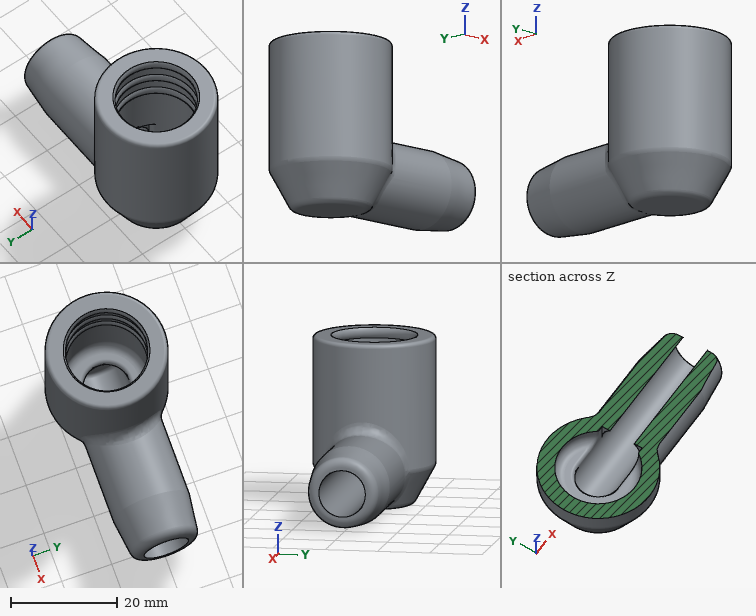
import cadquery as cq

body_diameter = 23.24
body_height = 32.26
branch_diameter = 15.24
branch_reach = 33.53

body_radius = body_diameter / 2
foot_height = 7.65
foot_base_radius = 7.43
foot_edge_radius = 1.7
rim_edge_radius = 0.76

branch_radius = branch_diameter / 2
branch_lift = 0.02
branch_axis_height = branch_radius + branch_lift
taper_start = 25.13
tip_radius = 6.55
tip_edge_radius = 1.7
blend_radius = 2.2

socket_radius = 8.17
socket_floor_edge = 1.79
rib_height = 0.42
rib_width = 2.03
rib_pitch = 2 * rib_width
rib_count = 3
rib_root = 1.0

passage_radius = 4.445
passage_edge_radius = 0.76
slot_depth = 0.8
socket_floor = branch_axis_height + slot_depth

select_margin = 0.1


def revolve_about_z(profile):
    """Solid of revolution about Z from an open half outline in the XZ plane."""
    return profile.close().revolve(360, (0, 0, 0), (0, 1, 0))


def edges_inside(shape, lower_corner, upper_corner):
    """Edges of the shape that lie wholly inside a box."""
    return shape.edges(cq.selectors.BoxSelector(lower_corner, upper_corner, boundingbox=True))


def make_body():
    """Cylinder with a conical foot, all of its edges rounded."""
    body = revolve_about_z(
        cq.Workplane("XZ")
        .lineTo(-foot_base_radius, 0)
        .lineTo(-body_radius, foot_height)
        .lineTo(-body_radius, body_height)
        .lineTo(0, body_height)
    )
    foot_edges = edges_inside(
        body.edges("%CIRCLE"),
        (-body_diameter, -body_diameter, -select_margin),
        (body_diameter, body_diameter, foot_height + select_margin),
    )
    return foot_edges.fillet(foot_edge_radius).faces(">Z").edges().fillet(rim_edge_radius)


def make_branch():
    """Round branch from the body axis to a tapered, rounded tip."""
    branch = (
        cq.Workplane("XZ")
        .lineTo(0, branch_radius)
        .lineTo(taper_start, branch_radius)
        .lineTo(branch_reach, tip_radius)
        .lineTo(branch_reach, 0)
        .close()
        .revolve(360, (0, 0, 0), (1, 0, 0))
        .faces(">X").edges().fillet(tip_edge_radius)
    )
    return branch.translate((0, 0, branch_axis_height))


def join_body_and_branch():
    """Body and branch with their junction blended."""
    joined = make_body().union(make_branch())
    branch_top = branch_axis_height + branch_radius
    junction = edges_inside(
        joined,
        (body_radius / 2, -branch_diameter, -select_margin),
        (body_radius + select_margin, branch_diameter, branch_top + select_margin),
    )
    return junction.fillet(blend_radius)


def make_rib(top):
    """Ring with an arched inner face, its upper edge on the socket wall at the given height."""
    return revolve_about_z(
        cq.Workplane("XZ")
        .moveTo(socket_radius + rib_root, top)
        .lineTo(socket_radius, top)
        .threePointArc(
            (socket_radius - rib_height, top - rib_width / 2),
            (socket_radius, top - rib_width),
        )
        .lineTo(socket_radius + rib_root, top - rib_width)
    )


def make_socket():
    """Socket void: a cylinder with a rounded floor edge, less the inward ribs."""
    socket = (
        cq.Workplane("XY", origin=(0, 0, socket_floor))
        .circle(socket_radius)
        .extrude(body_height - socket_floor)
        .faces("<Z").edges().fillet(socket_floor_edge)
    )
    for index in range(rib_count):
        socket = socket.cut(make_rib(body_height - index * rib_pitch))
    return socket


def passage_block(x_start, length):
    """Box as wide as the passage, rising one passage radius from its axis."""
    return cq.Workplane("XY", origin=(x_start, -passage_radius, branch_axis_height)).box(
        length, 2 * passage_radius, passage_radius, centered=False
    )


def make_passage():
    """Passage void: a bore along the branch and a round-ended slot up into the socket."""
    bore = (
        cq.Workplane("YZ", origin=(-passage_radius, 0, branch_axis_height))
        .circle(passage_radius)
        .extrude(branch_reach + passage_radius)
        .faces("<X").edges().fillet(passage_edge_radius)
    )
    slot_end = (
        cq.Workplane("XY", origin=(0, 0, branch_axis_height))
        .circle(passage_radius)
        .extrude(passage_radius)
    )
    bore = bore.cut(passage_block(-passage_radius, passage_radius))
    return bore.union(slot_end).union(passage_block(0, socket_radius))


def round_slot_edge(part):
    """Round the edge where the slot opens through the socket floor."""
    reach = passage_radius + select_margin
    slot_edge = edges_inside(
        part,
        (-reach, -reach, socket_floor - select_margin),
        (socket_radius, reach, socket_floor + select_margin),
    )
    return slot_edge.fillet(passage_edge_radius)


hollow_elbow = join_body_and_branch().cut(make_socket()).cut(make_passage())
result = round_slot_edge(hollow_elbow)